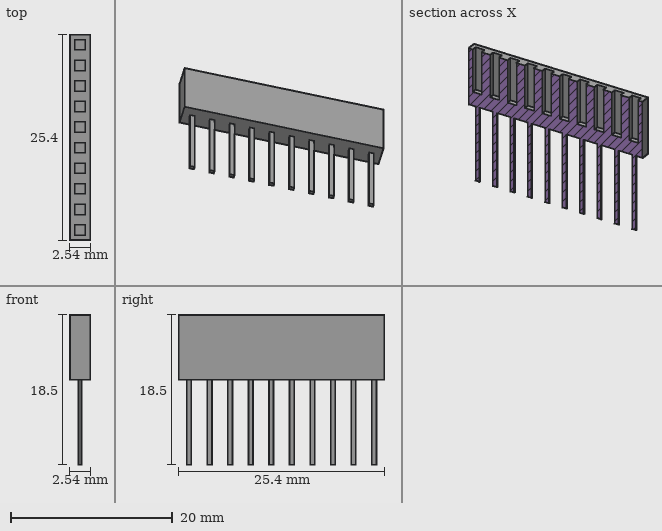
import cadquery as cq

pitch = 2.54
position_count = 10

body_width = pitch
body_length = pitch * position_count
body_height = 8.0

socket_side = pitch / 2
socket_depth = 6.0

pin_thickness = 0.4
pin_width = 0.6
pin_length = 10.5

first_position_y = -(position_count - 1) * pitch / 2
row_points = [(0, first_position_y + index * pitch) for index in range(position_count)]


def make_body():
    """Rectangular housing standing on Z = 0."""
    return cq.Workplane("XY").rect(body_width, body_length).extrude(body_height)


def make_sockets():
    """Square blind openings sunk from the top face."""
    top_plane = cq.Workplane("XY").workplane(offset=body_height)
    return top_plane.pushPoints(row_points).rect(socket_side, socket_side).extrude(-socket_depth)


def make_pins():
    """Flat rectangular pins hanging from the bottom face."""
    return cq.Workplane("XY").pushPoints(row_points).rect(pin_thickness, pin_width).extrude(-pin_length)


result = make_body().cut(make_sockets()).union(make_pins())